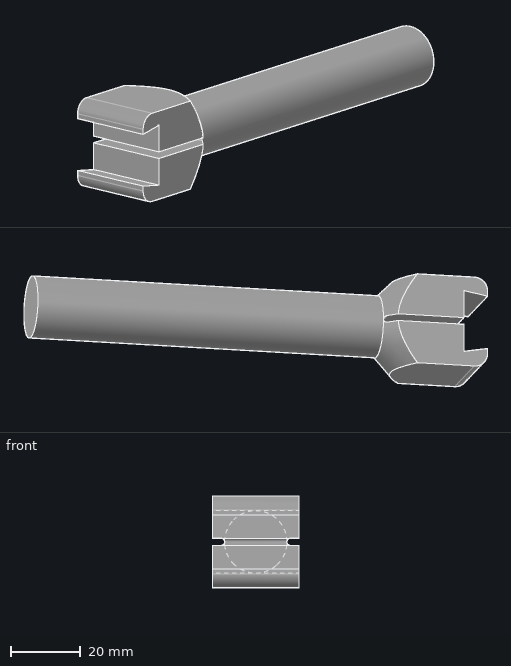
import cadquery as cq
import math

total_length = 132.0
head_width = 25.0
head_height = 26.4
head_length = 30.0
rod_diameter = 18.0

nose_radius = 4.0
slit_width = 2.0
jaw_depth = 7.0
jaw_root_height = 18.0
jaw_taper_angle = 10.0

rod_radius = rod_diameter / 2
rod_length = total_length - head_length
jaw_tip_height = jaw_root_height - 2 * jaw_depth * math.tan(math.radians(jaw_taper_angle))


def make_rod():
    return (
        cq.Workplane("XZ", origin=(0, total_length, 0))
        .circle(rod_radius)
        .extrude(rod_length)
    )


def make_head_block():
    """Rectangular head with rounded nose edges and a 45 degree conical shoulder."""
    block = (
        cq.Workplane("XY")
        .box(head_width, head_length, head_height, centered=(True, False, True))
        .edges("<Y and |X")
        .fillet(nose_radius)
    )
    cone_end_radius = rod_radius + head_length
    shoulder_cone = (
        cq.Workplane("XY")
        .polyline([
            (0, 0),
            (cone_end_radius, 0),
            (rod_radius, head_length),
            (0, head_length),
        ])
        .close()
        .revolve(360, (0, 0, 0), (0, 1, 0))
    )
    return block.intersect(shoulder_cone)


def make_jaw_opening():
    """Undercut mouth, narrower at the tips than at its root."""
    return (
        cq.Workplane("YZ")
        .polyline([
            (0, -jaw_tip_height / 2),
            (jaw_depth, -jaw_root_height / 2),
            (jaw_depth, jaw_root_height / 2),
            (0, jaw_tip_height / 2),
        ])
        .close()
        .extrude(head_width / 2, both=True)
    )


def make_slit():
    """Round-ended slit from the jaw tips to the rod end of the head."""
    arc_start = head_length - slit_width / 2
    return (
        cq.Workplane("YZ")
        .moveTo(0, -slit_width / 2)
        .lineTo(arc_start, -slit_width / 2)
        .threePointArc((head_length, 0), (arc_start, slit_width / 2))
        .lineTo(0, slit_width / 2)
        .close()
        .extrude(head_width / 2, both=True)
    )


head = make_head_block().cut(make_jaw_opening()).cut(make_slit())
result = head.union(make_rod())